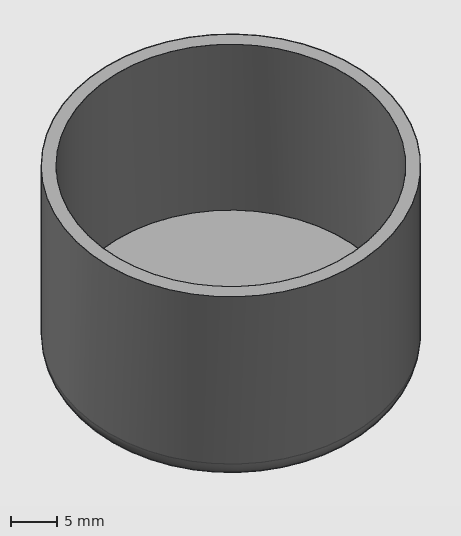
import cadquery as cq

outer_diameter = 41.2
inner_diameter = 38.0
height = 28.2
floor_thickness = 3.2
bottom_edge_radius = 3.0

body = cq.Workplane("XY").circle(outer_diameter / 2).extrude(height)
body = body.faces("<Z").edges().fillet(bottom_edge_radius)

cavity = (
    cq.Workplane("XY")
    .workplane(offset=floor_thickness)
    .circle(inner_diameter / 2)
    .extrude(height - floor_thickness)
)

result = body.cut(cavity)